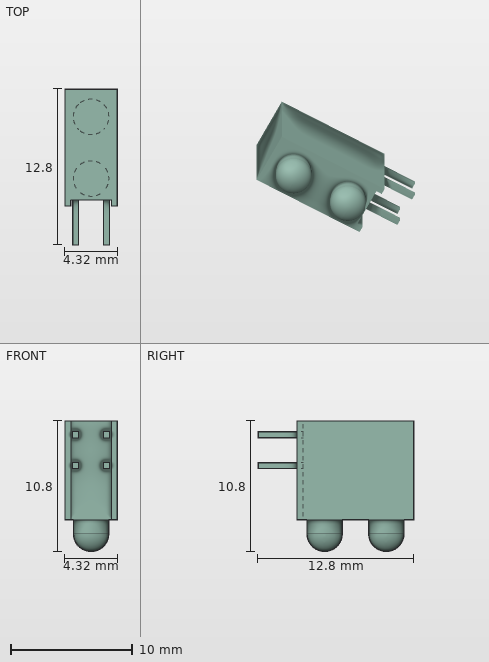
import cadquery as cq

total_length = 12.83
total_height = 10.76

housing_width = 4.32
housing_length = 9.64
housing_height = 8.16
wall = 0.5
recess_depth = 0.5

lens_radius = 1.46
lens_pitch = 5.08
lens_straight = total_height - housing_height - lens_radius

pin_side = 0.5
pin_pitch = 2.54
top_pin_depth = 1.15
pin_length = total_length - housing_length + recess_depth


def make_housing():
    """Block with its bottom at Z = 0 and a full-height channel in the -Y face."""
    block = cq.Workplane("XY").box(
        housing_width, housing_length, housing_height, centered=(True, True, False)
    )
    channel = (
        cq.Workplane("XY")
        .box(housing_width - 2 * wall, recess_depth, housing_height, centered=(True, False, False))
        .translate((0, -housing_length / 2, 0))
    )
    return block.cut(channel)


def make_lens(y):
    """Domed lens hanging from the housing bottom, revolved about its vertical axis."""
    diagonal = lens_radius * 0.5 ** 0.5
    return (
        cq.Workplane("XZ")
        .lineTo(lens_radius, 0)
        .lineTo(lens_radius, -lens_straight)
        .threePointArc(
            (diagonal, -lens_straight - diagonal), (0, -lens_straight - lens_radius)
        )
        .close()
        .revolve(360, (0, 0), (0, 1))
        .translate((0, y, 0))
    )


def make_pin(x, z):
    """Pin running from the channel floor out toward -Y."""
    return (
        cq.Workplane("XY")
        .box(pin_side, pin_length, pin_side, centered=(True, False, True))
        .translate((x, -housing_length / 2 + recess_depth - pin_length, z))
    )


result = make_housing()

for y in (-lens_pitch / 2, lens_pitch / 2):
    result = result.union(make_lens(y))

upper_pin_z = housing_height - top_pin_depth
for x in (-pin_pitch / 2, pin_pitch / 2):
    for z in (upper_pin_z, upper_pin_z - pin_pitch):
        result = result.union(make_pin(x, z))